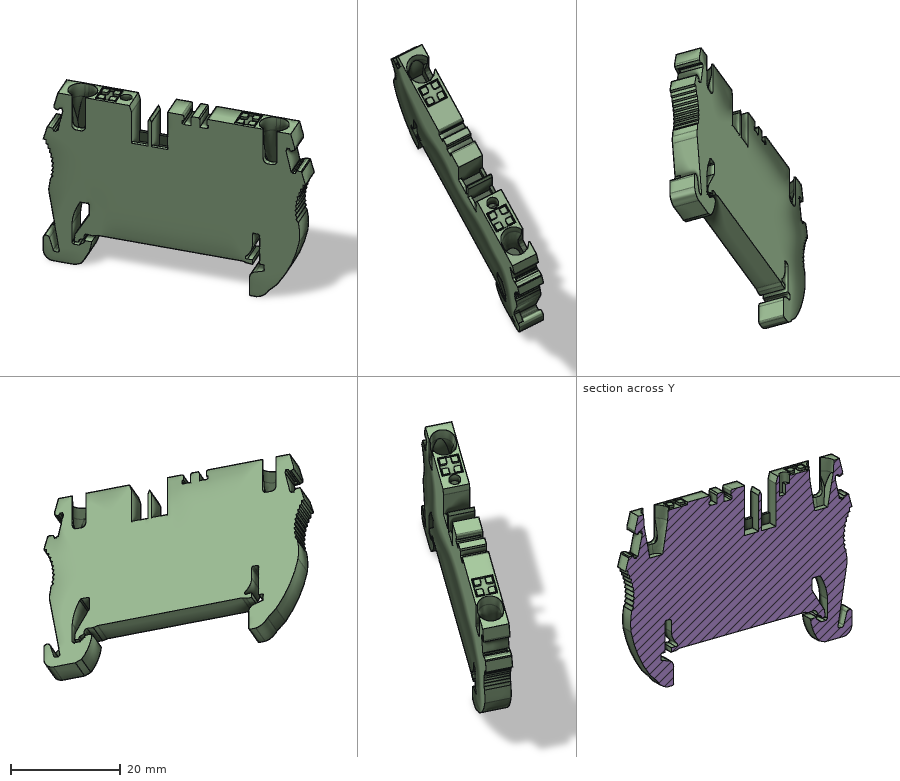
import cadquery as cq
import math

length = 50.8
width = 5.0
height = 36.0
half_length = length / 2
back_web = 0.45
relief_depth = width - back_web

grip_radius = 10.65
grip_centre_x = 34.4
grip_centre_z = 19.85
grip_first_angle = 26.9
grip_pitch_angle = 5.05
grip_tooth_count = 9
grip_tooth_depth = 0.3
grip_root_fraction = 0.3

rail_face_z = 7.05
foot_bulge_x = 24.25
foot_bulge_z = 15.85
latch_top_z = 5.5
slot_inner_x = -19.85

entry_x = 18.55
entry_y = 2.415
entry_round = 2.365
entry_straight = 0.75
entry_step_z = 33.4
entry_mid_y = 2.3
entry_mid_round = 2.2
entry_floor_z = 26.95
entry_floor_outer = 1.3
entry_floor_flat = 0.15
entry_floor_y = 2.7
entry_floor_round = 1.3
front_slot_width = 2.65
front_slot_depth = 1.05
front_slot_bottom = 28.75
front_slot_corner = 0.9

actuator_x = 13.495
actuator_y = 2.55
actuator_side = 3.95
actuator_depth = 0.5
pad_side = 1.25
pad_offset = 1.1
pad_corner_radius = 0.35

pin_hole_diameter = 2.15
pin_hole_x = -10.2
pin_hole_y = 2.6
pin_hole_depth = 4.05
pin_step_depth = 2.05
pin_step_x = -10.4

window_left = -8.3
window_right = -1.3
window_floor = 28.05
window_lead_in_x = 0.4
window_lead_in_z = 1.35
blade_x = -4.8
blade_thickness = 0.7
blade_shoulder = 33.25
blade_tip = 34.05
well_wall = 0.6
well_depth = 2.05

notch_middle = 4.05
notch_floor = 34.0
notch_outer = 2.25
notch_inner = 0.85
notch_lip_radius = 0.35
notch_inner_flare = 0.2
notch_relief = 0.3
notch_relief_top = 34.8

lever_web = 1.05


def polar_grip(radius, angle):
    a = math.radians(angle)
    return (grip_centre_x - radius * math.cos(a), grip_centre_z + radius * math.sin(a))


def grip_points():
    """Tooth tips and roots on the +X end, from top to bottom."""
    points = []
    for i in range(grip_tooth_count):
        tip_angle = grip_first_angle - i * grip_pitch_angle
        points.append(polar_grip(grip_radius, tip_angle))
        if i < grip_tooth_count - 1:
            root_angle = tip_angle - grip_root_fraction * grip_pitch_angle
            points.append(polar_grip(grip_radius + grip_tooth_depth, root_angle))
    return points


def flank_points():
    """+X end from the top face down to the last tooth: upper hook, throat, lower hook, grip."""
    hooks = [
        (22.55, height),
        (23.35, 33.15),
        (23.35, 32.7),
        (22.8, 32.35),
        (21.65, 32.2),
        (22.6, 27.9),
        (23.4, 28.1),
        (23.6, 28.25),
        (24.0, 28.35),
        (24.55, 28.35),
        (24.7, 28.15),
        (half_length, 25.6),
        (24.9, 25.5),
    ]
    return hooks + grip_points()


def mirrored(points):
    return [(-x, z) for x, z in points]


def plate(sketch, depth, start=0.0):
    """Extrude a closed XZ sketch towards +Y, beginning at Y = start."""
    return sketch.close().extrude(-depth).translate((0, start, 0))


def sheet(points, depth, start=0.0):
    return plate(cq.Workplane("XZ").polyline(points), depth, start)


def body():
    outline = (
        cq.Workplane("XZ")
        .polyline(mirrored(flank_points())[::-1] + flank_points())
        .threePointArc((foot_bulge_x, foot_bulge_z), (24.2, 13.2))
        .threePointArc((22.55, 8.05), (19.9, 3.4))
        .lineTo(18.25, 1.75)
        .threePointArc((17.3, 0.6), (15.95, 0))
        .lineTo(14.85, 0)
        .threePointArc((14.65, 0.1), (14.55, 0.3))
        .lineTo(14.55, 3.75)
        .threePointArc((14.85, 4.7), (15.7, 5.25))
        .lineTo(17.15, 5.7)
        .threePointArc((17.35, 5.8), (17.4, 6.0))
        .lineTo(17.4, 6.8)
        .threePointArc((17.35, 7.0), (17.15, rail_face_z))
        .lineTo(16.5, rail_face_z)
        .lineTo(16.5, 12.95)
        .threePointArc((16.35, 13.3), (16.05, 13.4))
        .lineTo(15.5, 13.4)
        .threePointArc((15.25, 13.3), (15.15, 13.05))
        .lineTo(15.15, 10.9)
        .threePointArc((14.8, 9.45), (13.8, 8.2))
        .threePointArc((13.75, 7.9), (14.2, 7.7))
        .lineTo(15.15, 7.7)
        .lineTo(15.15, 6.75)
        .lineTo(14.1, 6.8)
        .lineTo(13.25, rail_face_z)
        .lineTo(-14.9, rail_face_z)
        .lineTo(-15.75, 6.8)
        .lineTo(-16.95, 6.9)
        .threePointArc((-17.4, 6.65), (-17.5, 5.9))
        .lineTo(-18.45, 5.45)
        .lineTo(-18.6, 4.95)
        .lineTo(-19.4, 4.95)
        .lineTo(-19.25, 6.45)
        .lineTo(-16.5, 11.05)
        .lineTo(-16.5, 13.3)
        .lineTo(-16.7, 13.5)
        .lineTo(-18.15, 13.5)
        .lineTo(-18.4, 13.25)
        .threePointArc((-19.4, 10.95), (slot_inner_x, 8.5))
        .lineTo(slot_inner_x, 4.7)
        .lineTo(-19.5, 4.3)
        .lineTo(-18.45, 4.3)
        .lineTo(-17.5, 5.1)
        .lineTo(-17.5, latch_top_z)
        .lineTo(-16.0, latch_top_z)
        .threePointArc((-16.95, 2.2), (-18.05, 0.5))
        .lineTo(-19.25, 0)
        .lineTo(-23.6, 0)
        .threePointArc((-24.85, 0.6), (-half_length, 1.9))
        .lineTo(-half_length, 4.45)
        .threePointArc((-24.9, 5.2), (-24.2, 4.8))
        .lineTo(-23.5, 2.35)
        .threePointArc((-23.35, 2.15), (-23.1, 2.05))
        .lineTo(-22.6, 2.05)
        .threePointArc((-22.35, 2.2), (-22.3, 2.55))
        .lineTo(-24.25, 14.25)
        .threePointArc((-24.35, 15.05), (-foot_bulge_x, foot_bulge_z))
    )
    return plate(outline, width)


def lever_slot_web():
    points = [
        (-23.1, 7.3),
        (-23.3, 6.6),
        (-24.85, 5.25),
        (-24.2, 4.8),
        (-23.5, 2.35),
        (-22.6, 2.05),
        (-21.85, 2.55),
        (-22.6, 7.3),
    ]
    return sheet(points, lever_web, width - lever_web)


def hook_reliefs(side):
    """Grooves in the inner corners of the two hooks, stopping at the back skin."""
    upper = [(22.55, 32.25), (22.25, 32.8), (21.8, 32.8), (21.65, 32.2)]
    lower = [(23.6, 28.35), (23.4, 27.7), (22.95, 27.7), (22.6, 28.15)]
    cutters = cq.Workplane("XZ")
    for corner in (upper, lower):
        cutters = cutters.add(sheet([(side * x, z) for x, z in corner], relief_depth))
    return cutters.combine()


def obround(plane, centre_y, radius):
    half = entry_straight / 2
    return (
        plane.moveTo(-half, centre_y - radius)
        .lineTo(half, centre_y - radius)
        .threePointArc((half + radius, centre_y), (half, centre_y + radius))
        .lineTo(-half, centre_y + radius)
        .threePointArc((-half - radius, centre_y), (-half, centre_y - radius))
        .close()
    )


def flat_ended(plane, centre_y, radius, flat_reach, arc_start):
    """D-shaped section: flat towards -X, half round towards +X."""
    return (
        plane.moveTo(-flat_reach, centre_y - radius)
        .lineTo(arc_start, centre_y - radius)
        .threePointArc((arc_start + radius, centre_y), (arc_start, centre_y + radius))
        .lineTo(-flat_reach, centre_y + radius)
        .close()
    )


def wire_entry():
    """Funnel for the -X end, standing on X = 0: obround mouth, then a taper to a D-shaped floor."""
    mouth = cq.Workplane("XY").workplane(offset=entry_step_z)
    mouth = obround(mouth, entry_mid_y, entry_mid_round)
    mouth = mouth.workplane(offset=height - entry_step_z)
    mouth = obround(mouth, entry_y, entry_round).loft(ruled=True)
    taper = cq.Workplane("XY").workplane(offset=entry_floor_z)
    taper = flat_ended(taper, entry_floor_y, entry_floor_round, entry_floor_outer, entry_floor_flat)
    taper = taper.workplane(offset=entry_step_z - entry_floor_z)
    mid_reach = entry_straight / 2 + entry_mid_round
    taper = flat_ended(taper, entry_mid_y, entry_mid_round, mid_reach, entry_straight / 2).loft(ruled=True)
    shaft = cq.Workplane("XY").workplane(offset=entry_floor_z)
    shaft = obround(shaft, entry_mid_y, entry_mid_round).extrude(entry_step_z - entry_floor_z)
    taper = taper.intersect(shaft)
    slot_height = height - front_slot_bottom
    slot = (
        cq.Workplane("XY")
        .box(front_slot_width, front_slot_depth, slot_height, centered=(True, False, False))
        .edges("|Y and <Z")
        .fillet(front_slot_corner)
        .translate((0, 0, front_slot_bottom))
    )
    return mouth.union(slot).union(taper)


def actuator_recess():
    """Square recess standing on X = 0 with four raised pads, their inner corners rounded."""
    bottom = height - actuator_depth
    recess = cq.Workplane("XY").box(actuator_side, actuator_side, actuator_depth, centered=(True, True, False))
    for sx, sy, corner in ((1, 1, "<X and <Y"), (1, -1, "<X and >Y"), (-1, 1, ">X and <Y"), (-1, -1, ">X and >Y")):
        pad = (
            cq.Workplane("XY")
            .box(pad_side, pad_side, actuator_depth, centered=(True, True, False))
            .edges("|Z and (" + corner + ")")
            .fillet(pad_corner_radius)
            .translate((sx * pad_offset, sy * pad_offset, 0))
        )
        recess = recess.cut(pad)
    return recess.translate((0, actuator_y, bottom))


def pin_hole():
    radius = pin_hole_diameter / 2
    hole = cq.Workplane("XY").circle(radius).extrude(pin_hole_depth)
    hole = hole.translate((pin_hole_x, pin_hole_y, height - pin_hole_depth))
    step_height = pin_hole_depth - pin_step_depth
    step = (
        cq.Workplane("XY")
        .box(pin_hole_diameter, pin_hole_diameter, step_height, centered=(True, True, False))
        .translate((pin_step_x - radius, pin_hole_y, height - pin_hole_depth))
    )
    return hole.cut(step)


def marker_window():
    opening = sheet([
        (window_left, window_floor),
        (window_left, height - window_lead_in_z),
        (window_left - window_lead_in_x, height),
        (window_right, height),
        (window_right, window_floor),
    ], width)
    blade_left = blade_x - blade_thickness / 2
    blade_right = blade_x + blade_thickness / 2
    blade = sheet([
        (blade_left, window_floor),
        (blade_left, blade_shoulder),
        (blade_x, blade_tip),
        (blade_right, blade_shoulder),
        (blade_right, window_floor),
    ], width)
    cutter = opening.cut(blade)
    for left, right in ((window_left, blade_left), (blade_right, window_right)):
        well = cq.Workplane("XY").box(right - left, width - 2 * well_wall, well_depth, centered=False)
        cutter = cutter.union(well.translate((left, well_wall, window_floor - well_depth)))
    return cutter


def snap_notch(side):
    """One notch with a rounded outer lip, a flared inner wall and a relief groove low in its outer wall."""
    lip_z = height - notch_lip_radius

    def place(points):
        return [(notch_middle + side * x, z) for x, z in points]

    notch = sheet(place([
        (notch_inner, notch_floor),
        (notch_outer, notch_floor),
        (notch_outer, lip_z),
        (notch_outer, height),
        (notch_inner - notch_inner_flare, height),
        (notch_inner, lip_z),
    ]), width)
    lip_sag = notch_lip_radius * (1 - math.sqrt(0.5))
    (lip_top, lip_bend, lip_foot, lip_corner) = place([
        (notch_outer + notch_lip_radius, height),
        (notch_outer + lip_sag, height - lip_sag),
        (notch_outer, lip_z),
        (notch_outer, height),
    ])
    rounded_lip = cq.Workplane("XZ").moveTo(*lip_top).threePointArc(lip_bend, lip_foot).lineTo(*lip_corner)
    notch = notch.union(plate(rounded_lip, width))
    relief = sheet(place([
        (notch_outer, notch_floor),
        (notch_outer + notch_relief, notch_floor + notch_relief / 2),
        (notch_outer + notch_relief, notch_relief_top - notch_relief / 2),
        (notch_outer, notch_relief_top),
    ]), relief_depth)
    return notch.union(relief)


result = body().union(lever_slot_web())
entry = wire_entry()
recess = actuator_recess()
result = result.cut(entry.translate((-entry_x, 0, 0)))
result = result.cut(entry.mirror("YZ").translate((entry_x, 0, 0)))
for side in (-1, 1):
    result = result.cut(hook_reliefs(side))
    result = result.cut(recess.translate((side * actuator_x, 0, 0)))
    result = result.cut(snap_notch(side))
result = result.cut(pin_hole()).cut(marker_window())